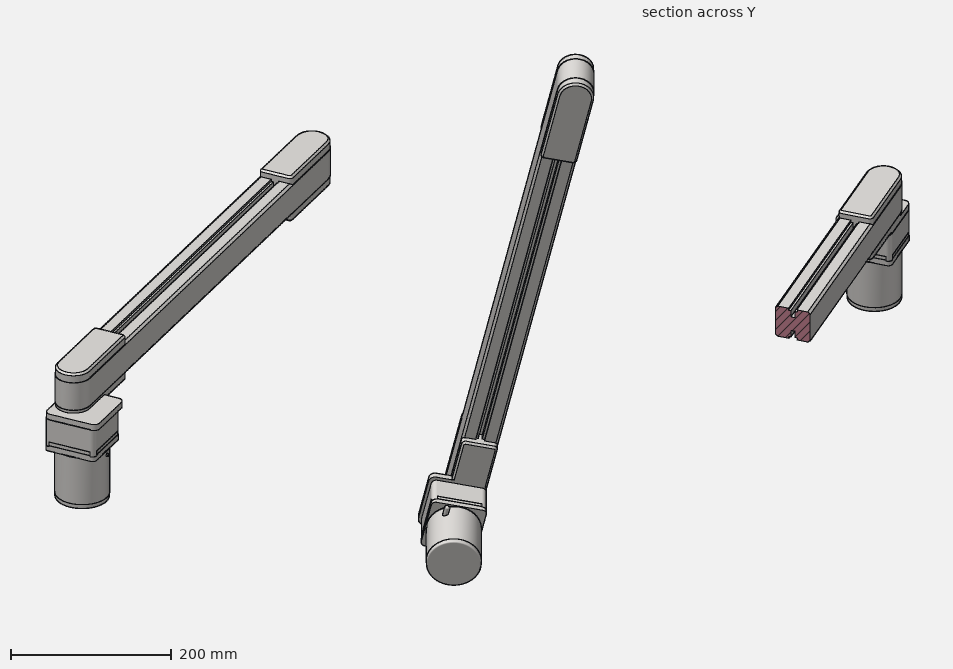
import cadquery as cq

overall_width = 73.8
overall_length = 714.7
body_width = 46.5
body_radius = body_width / 2
body_length = 702.0
axle_distance = body_length - 2 * body_radius
total_height = 183.0
mid_height = 150.9
side_height = 39.0
beam_height = 44.7
beam_chamfer_width = 3.4
beam_chamfer_height = (beam_height - side_height) / 2

cover_height = 2 * (total_height - mid_height)
cover_inset = 0.6
cover_radius = body_radius - cover_inset
cover_straight = 100.9
cover_corner_radius = 5.0
cover_chamfer = 2.7

slot_width = 11.0
slot_depth = 3.0
inner_slot_width = 5.0
inner_slot_depth = 12.0

plate_right = overall_width - body_radius
plate_left = -cover_radius
plate_front = axle_distance + body_radius - overall_length
plate_length = 76.0
plate_bottom = total_height - cover_height
plate_top = 127.2
plate_corner_radius = 8.0
plate_overhang = 1.5
gearbox_size = 70.0
gearbox_bottom = 80.0
gearbox_corner_radius = 6.5
drive_x = -body_radius + gearbox_size / 2
drive_y = plate_front + plate_overhang + gearbox_size / 2
flange_bottom = 73.5
flange_corner_radius = 5.5
groove_depth = 0.4
groove_bottom = 81.3
groove_top = 86.5

collar_diameter = 68.5
collar_height = 1.0
motor_diameter = 69.0
cap_diameter = 68.5
cap_height = 6.5
cap_edge_radius = 1.8
gland_diameter = 7.0
gland_edge_radius = 1.5
gland_offset = 17.0
gland_height = 59.5
gland_reach = 41.5
pin_diameter = 4.0
pin_height = 67.0
pin_reach = 36.5


def block(width, length, bottom, top, center_x, center_y):
    """Box between two heights, centred in plan on the given point."""
    return (
        cq.Workplane("XY", origin=(center_x, center_y, bottom))
        .rect(width, length)
        .extrude(top - bottom)
    )


def make_sides():
    """Belt body with a full round at each end."""
    return (
        cq.Workplane("XY", origin=(0, axle_distance / 2, mid_height - side_height / 2))
        .slot2D(body_length, body_width, 90)
        .extrude(side_height)
    )


def make_beam():
    """Beam between the pulley axes, chamfered along its four long edges."""
    half_flat = body_radius - beam_chamfer_width
    half_side = side_height / 2
    half_height = beam_height / 2
    return (
        cq.Workplane("XZ", origin=(0, 0, mid_height))
        .moveTo(-half_flat, half_height)
        .lineTo(half_flat, half_height)
        .lineTo(body_radius, half_side)
        .lineTo(body_radius, -half_side)
        .lineTo(half_flat, -half_height)
        .lineTo(-half_flat, -half_height)
        .lineTo(-body_radius, -half_side)
        .lineTo(-body_radius, half_side)
        .close()
        .extrude(-axle_distance)
    )


def make_slots():
    """Stepped slots that run between the pulley axes on both faces of the beam."""
    slots = cq.Workplane("XY")
    for width, depth in ((slot_width, slot_depth), (inner_slot_width, inner_slot_depth)):
        for side in (-1, 1):
            face_height = mid_height + side * beam_height / 2
            slots = slots.union(
                block(width, axle_distance, face_height - depth, face_height + depth, 0, axle_distance / 2)
            )
    return slots


def make_cover():
    """Cover around the motor end: round outside, small corners towards the beam."""
    corner = cover_corner_radius
    cover = (
        cq.Workplane("XY", origin=(0, 0, mid_height - cover_height / 2))
        .moveTo(-cover_radius, 0)
        .threePointArc((0, -cover_radius), (cover_radius, 0))
        .lineTo(cover_radius, cover_straight - corner)
        .radiusArc((cover_radius - corner, cover_straight), -corner)
        .lineTo(-cover_radius + corner, cover_straight)
        .radiusArc((-cover_radius, cover_straight - corner), -corner)
        .close()
        .extrude(cover_height)
    )
    return cover.faces(">Z or <Z").chamfer(cover_chamfer)


def make_plate():
    """Mounting plate that joins the gearbox to the lower cover."""
    return block(
        plate_right - plate_left,
        plate_length,
        plate_bottom,
        plate_top,
        (plate_left + plate_right) / 2,
        plate_front + plate_length / 2,
    ).edges("|Z").fillet(plate_corner_radius)


def make_gearbox():
    """Square gearbox and flange, with a shallow groove on each flat side."""
    gearbox = block(
        gearbox_size, gearbox_size, gearbox_bottom, plate_bottom, drive_x, drive_y
    ).edges("|Z").fillet(gearbox_corner_radius)
    flange = block(
        gearbox_size, gearbox_size, flange_bottom, gearbox_bottom, drive_x, drive_y
    ).edges("|Z").fillet(flange_corner_radius)
    flat = gearbox_size - 2 * gearbox_corner_radius
    half = gearbox_size / 2
    for side in (-1, 1):
        for width, length, shift_x, shift_y in (
            (flat, 2 * groove_depth, 0, side * half),
            (2 * groove_depth, flat, side * half, 0),
        ):
            gearbox = gearbox.cut(
                block(width, length, groove_bottom, groove_top, drive_x + shift_x, drive_y + shift_y)
            )
    return gearbox.union(flange)


def disc(diameter, bottom, top):
    """Cylinder on the motor axis between two heights."""
    return (
        cq.Workplane("XY", origin=(drive_x, drive_y, bottom))
        .circle(diameter / 2)
        .extrude(top - bottom)
    )


def make_motor():
    """Round motor with a slightly narrower collar and end cap, a cable gland and a pin."""
    motor_top = flange_bottom - collar_height
    motor = disc(motor_diameter, cap_height, motor_top)
    collar = disc(collar_diameter, motor_top, flange_bottom)
    cap = disc(cap_diameter, 0, cap_height).faces("<Z").edges().fillet(cap_edge_radius)
    gland = (
        cq.Workplane("XZ", origin=(drive_x + gland_offset, drive_y, gland_height))
        .circle(gland_diameter / 2)
        .extrude(-gland_reach)
        .faces(">Y")
        .edges()
        .fillet(gland_edge_radius)
    )
    pin = (
        cq.Workplane("YZ", origin=(drive_x, drive_y, pin_height))
        .circle(pin_diameter / 2)
        .extrude(pin_reach)
    )
    return motor.union(collar).union(cap).union(gland).union(pin)


motor_end_cover = make_cover()
far_end_cover = motor_end_cover.mirror("XZ").translate((0, axle_distance, 0))

result = (
    make_beam()
    .union(make_sides())
    .cut(make_slots())
    .union(motor_end_cover)
    .union(far_end_cover)
    .union(make_plate())
    .union(make_gearbox())
    .union(make_motor())
)